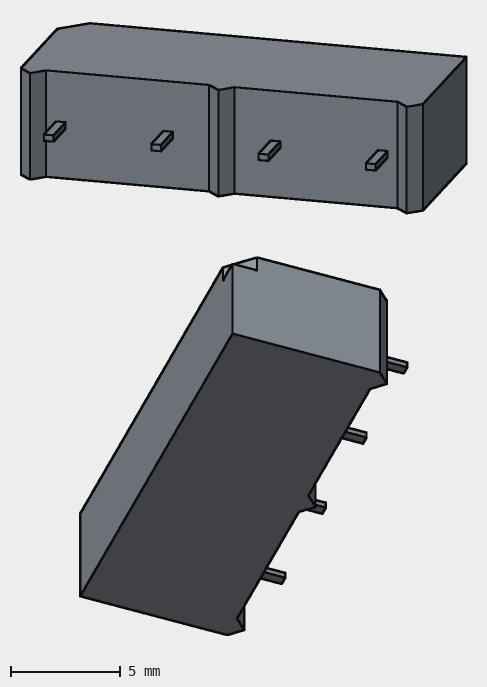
import cadquery as cq

body_length = 19.05
body_depth = 7.2
body_height = 5.1

ridge_height = 0.6
ridge_width = 1.2
ridge_centers = [ridge_width / 2, body_length / 2, body_length - ridge_width / 2]

notch_leg = 1.2
notch_depth = 0.8

pin_length = 2.0
pin_width = 0.45
pin_thickness = 0.3
pin_pitch = 5.09
pin_count = 4
first_pin_x = body_length / 2 - pin_pitch * (pin_count - 1) / 2
pin_z = body_height / 2


def ridged_block():
    """Block behind the pin face (y = 0), with full-height ridges pointing towards -Y."""
    block = cq.Workplane("XY").box(body_length, body_depth, body_height, centered=False)
    for center_x in ridge_centers:
        triangle = [
            (center_x - ridge_width / 2, 0),
            (center_x, -ridge_height),
            (center_x + ridge_width / 2, 0),
        ]
        ridge = cq.Workplane("XY").polyline(triangle).close().extrude(body_height)
        block = block.union(ridge)
    return block


def corner_notch():
    """Triangular prism that opens the top corner at -X, +Y."""
    triangle = [
        (0, body_depth),
        (notch_leg, body_depth),
        (0, body_depth - notch_leg),
    ]
    notch_floor = cq.Workplane("XY").workplane(offset=body_height - notch_depth)
    return notch_floor.polyline(triangle).close().extrude(notch_depth)


def pin(center_x):
    """Flat rectangular pin leaving the pin face towards -Y."""
    return (
        cq.Workplane("XZ")
        .center(center_x, pin_z)
        .rect(pin_width, pin_thickness)
        .extrude(pin_length)
    )


result = ridged_block().cut(corner_notch())
for index in range(pin_count):
    result = result.union(pin(first_pin_x + index * pin_pitch))